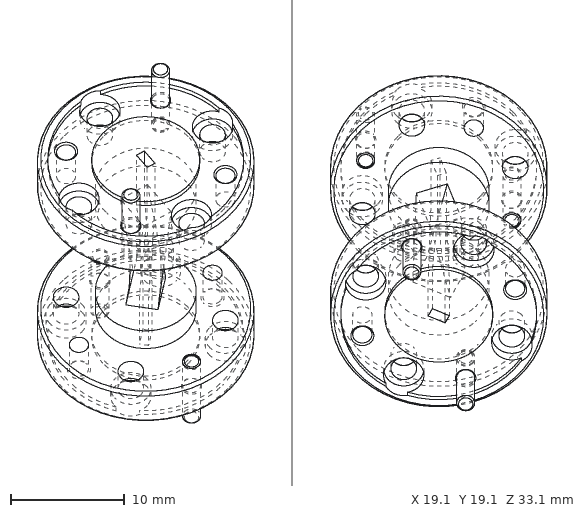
import cadquery as cq
import math

total_length = 33.15
body_length = 25.4
twist_length = 12.2
pin_projection = (total_length - body_length) / 2
face_z = body_length / 2
twist_end_z = twist_length / 2

flange_diameter = 19.05
flange_thickness = 4.08
flange_chamfer = 0.3
flange_back_z = face_z - flange_thickness
hub_diameter = 8.9

recess_diameter = 17.25
boss_diameter = 9.5
recess_depth = 0.53
recess_floor_z = face_z - recess_depth

hole_circle_radius = 7.13
screw_hole_diameter = 2.25
counterbore_diameter = 3.55
counterbore_depth = 1.65
screw_angles = (0, 90, 180, 270)
guide_hole_diameter = 1.7
guide_countersink_width = 0.15
guide_angles = (45, 225)
pin_angles = (135, 315)

pin_diameter = 1.6
pin_chamfer = 0.15
pin_countersink_width = 0.1
pin_length = flange_thickness + pin_projection

bore_width = 1.65
bore_height = 0.83
bar_width = 3.68
bar_height = 2.9
twist_angle = -45.0


def on_hole_circle(angles):
    """Points on the hole circle at the given angles in degrees."""
    return [
        (
            hole_circle_radius * math.cos(math.radians(angle)),
            hole_circle_radius * math.sin(math.radians(angle)),
        )
        for angle in angles
    ]


def to_bottom(shape):
    """Turn a top-end shape over to the bottom end and give it the waveguide twist."""
    origin = (0, 0, 0)
    half_turn = 180
    flipped = shape.rotate(origin, (1, 0, 0), half_turn)
    return flipped.rotate(origin, (0, 0, 1), twist_angle)


def cylinders(angles, diameter, bottom_z, top_z):
    """Upright cylinders on the hole circle between two heights."""
    layout = cq.Workplane("XY", origin=(0, 0, bottom_z)).pushPoints(on_hole_circle(angles))
    return layout.circle(diameter / 2).extrude(top_z - bottom_z)


def countersinks(angles, diameter, width):
    """45-degree cones that open the holes at the recess floor."""
    cone = cq.Solid.makeCone(
        diameter / 2, diameter / 2 + width, width, pnt=cq.Vector(0, 0, recess_floor_z - width)
    )
    layout = cq.Workplane("XY").pushPoints(on_hole_circle(angles))
    return layout.eachpoint(lambda place: cone.moved(place), combine=False)


def make_flange():
    """Top flange with its hub, recessed face and holes; the bore is cut later."""
    disc = (
        cq.Workplane("XY", origin=(0, 0, flange_back_z))
        .circle(flange_diameter / 2)
        .extrude(flange_thickness)
        .edges()
        .chamfer(flange_chamfer)
    )
    hub = (
        cq.Workplane("XY", origin=(0, 0, twist_end_z))
        .circle(hub_diameter / 2)
        .extrude(flange_back_z - twist_end_z)
    )
    recess = (
        cq.Workplane("XY", origin=(0, 0, recess_floor_z))
        .circle(recess_diameter / 2)
        .circle(boss_diameter / 2)
        .extrude(recess_depth)
    )
    flange = disc.union(hub).cut(recess)
    flange = flange.cut(cylinders(screw_angles, screw_hole_diameter, flange_back_z, face_z))
    flange = flange.cut(
        cylinders(screw_angles, counterbore_diameter, face_z - counterbore_depth, face_z)
    )
    flange = flange.cut(cylinders(guide_angles, guide_hole_diameter, flange_back_z, face_z))
    flange = flange.cut(countersinks(guide_angles, guide_hole_diameter, guide_countersink_width))
    flange = flange.cut(cylinders(pin_angles, pin_diameter, flange_back_z, face_z))
    return flange.cut(countersinks(pin_angles, pin_diameter, pin_countersink_width))


def twisted_bar(width, height):
    """Bar between the hubs whose straight corner edges join two turned rectangles."""
    lower_end = (
        cq.Workplane("XY", origin=(0, 0, -twist_end_z))
        .transformed(rotate=(0, 0, twist_angle))
        .rect(width, height)
        .wires()
        .val()
    )
    upper_end = cq.Workplane("XY", origin=(0, 0, twist_end_z)).rect(width, height).wires().val()
    return cq.Workplane(cq.Solid.makeLoft([lower_end, upper_end], True))


def make_waveguide():
    """One-piece body: two flanges joined by the twisted bar, with the bore through all."""
    flange = make_flange()
    body = flange.union(twisted_bar(bar_width, bar_height)).union(to_bottom(flange))
    end_bore = (
        cq.Workplane("XY", origin=(0, 0, twist_end_z))
        .rect(bore_width, bore_height)
        .extrude(face_z - twist_end_z)
    )
    body = body.cut(twisted_bar(bore_width, bore_height))
    return body.cut(end_bore).cut(to_bottom(end_bore))


def make_pin(x, y):
    """Dowel pin, flush with the back of the top flange and projecting from its face."""
    return (
        cq.Workplane("XY", origin=(x, y, flange_back_z))
        .circle(pin_diameter / 2)
        .extrude(pin_length)
        .edges()
        .chamfer(pin_chamfer)
    )


waveguide = make_waveguide()

pins = []
for pin_x, pin_y in on_hole_circle(pin_angles):
    top_pin = make_pin(pin_x, pin_y)
    pins.append(top_pin.solids().val())
    pins.append(to_bottom(top_pin).solids().val())

result = cq.Compound.makeCompound([waveguide.solids().val(), *pins])